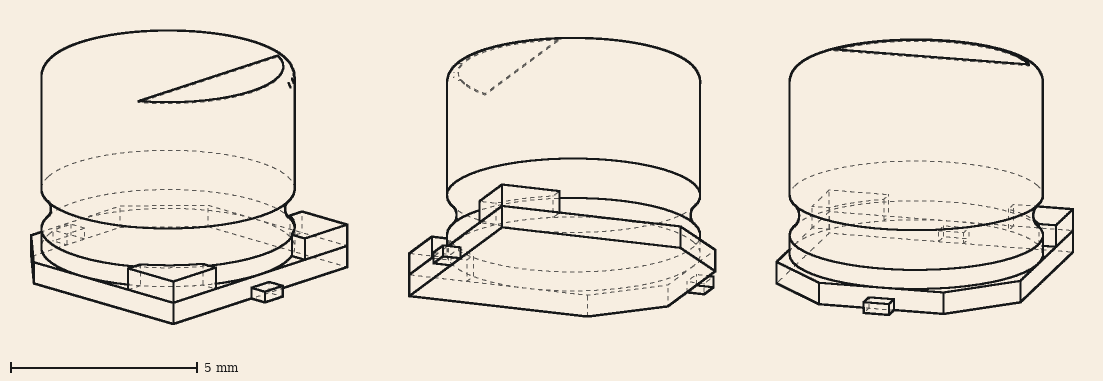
import cadquery as cq

overall_length = 7.8
base_width = 6.8
overall_height = 5.7

base_height = 0.6
corner_size = 1.66
block_height = 0.6

can_radius = base_width / 2
top_fillet = 0.305
groove_bottom = 1.13
groove_top = 2.24
groove_depth = 0.26

mark_start_x = 1.48
mark_thickness = 0.04
mark_radius = can_radius - top_fillet

lead_length = (overall_length - base_width) / 2
lead_width = 0.7
lead_height = 0.305


def make_base():
    """Square plate with the two corners on the -X side cut off."""
    plate = cq.Workplane("XY").box(base_width, base_width, base_height, centered=(True, True, False))
    return plate.edges("|Z and <X").chamfer(corner_size)


def make_mark():
    """Segment of a disc on the +X side, level with the top of the can."""
    mark_bottom = overall_height - mark_thickness
    disc = cq.Workplane("XY").workplane(offset=mark_bottom).circle(mark_radius).extrude(mark_thickness)
    beyond_line = (
        cq.Workplane("XY", origin=(mark_start_x, 0, mark_bottom))
        .rect(base_width, 2 * base_width)
        .extrude(mark_thickness)
        .translate((base_width / 2, 0, 0))
    )
    return disc.intersect(beyond_line)


def make_can(mark):
    """Turned can with a round groove and a rounded top rim, recessed for the mark."""
    groove_middle = (groove_bottom + groove_top) / 2
    can = (
        cq.Workplane("XZ")
        .moveTo(0, base_height)
        .lineTo(can_radius, base_height)
        .lineTo(can_radius, groove_bottom)
        .threePointArc((can_radius - groove_depth, groove_middle), (can_radius, groove_top))
        .lineTo(can_radius, overall_height)
        .lineTo(0, overall_height)
        .close()
        .revolve(360, (0, 0, 0), (0, 1, 0))
    )
    return can.faces(">Z").edges().fillet(top_fillet).cut(mark)


def make_corner_block(side):
    """Block on a +X corner of the base, hollowed to the can's radius; side is the sign of Y."""
    corner_middle = (base_width - corner_size) / 2
    block = (
        cq.Workplane("XY", origin=(corner_middle, side * corner_middle, base_height))
        .rect(corner_size, corner_size)
        .extrude(block_height)
    )
    can_clearance = cq.Workplane("XY").workplane(offset=base_height).circle(can_radius).extrude(block_height)
    return block.cut(can_clearance)


def make_lead(side):
    """Flat lead against an end wall of the base; side is the sign of X."""
    lead_middle = side * (base_width + lead_length) / 2
    return cq.Workplane("XY", origin=(lead_middle, 0, 0)).rect(lead_length, lead_width).extrude(lead_height)


base = make_base()
mark = make_mark()
can = make_can(mark)
corner_blocks = [make_corner_block(side) for side in (-1, 1)]
leads = [make_lead(side) for side in (-1, 1)]

result = cq.Compound.makeCompound([
    base.val(),
    can.val(),
    mark.val(),
    *[block.val() for block in corner_blocks],
    *[lead.val() for lead in leads],
])